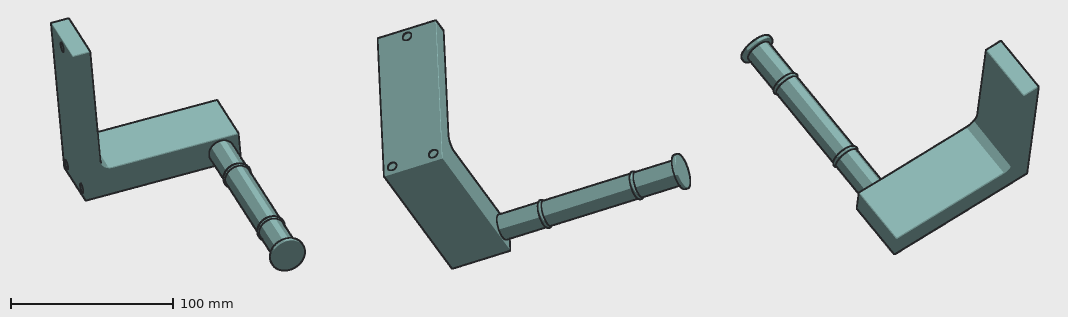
import cadquery as cq

WIDTH = 39.9
DEPTH = 102.3
HEIGHT = 109.9
FOOT_THICKNESS = 20.0
UPRIGHT_THICKNESS = 12.1
INNER_RADIUS = 7.5
EDGE_RADIUS = 0.9
FRONT_EDGE_RADIUS = 0.5

PLUG_DIAMETER = 6.0
PLUG_DEPTH = 6.0
PLUG_EDGE_RADIUS = 0.5
PLUG_INSET = 6.0

ROD_DIAMETER = 16.4
ROD_LENGTH = 119.7
ROD_END_RADIUS = 0.5
ROD_INSET = 12.5
RING_SECTION_RADIUS = 1.4
RING_HEIGHT = 0.9
RING_DISTANCES = (29.0, 91.2)
CAP_DIAMETER = 22.5
CAP_THICKNESS = 3.0
CAP_EDGE_RADIUS = 0.5

TILT_X = 4.5
TILT_Y = -0.2
TILT_Z = -5.68

ROD_RADIUS = ROD_DIAMETER / 2
RING_CENTER_RADIUS = ROD_RADIUS + RING_HEIGHT - RING_SECTION_RADIUS

PLUG_CENTERS = [
    (PLUG_INSET, PLUG_INSET),
    (WIDTH - PLUG_INSET, PLUG_INSET),
    (WIDTH / 2, HEIGHT - PLUG_INSET),
]


def rod_start():
    """Plane on the side of the foot, centered on the rod, facing along the rod."""
    origin = (WIDTH, DEPTH - ROD_INSET, FOOT_THICKNESS / 2)
    return cq.Plane(origin=origin, xDir=(0, 1, 0), normal=(1, 0, 0))


def rod_plane(distance):
    """Plane across the rod at a distance from the bracket."""
    return cq.Workplane(rod_start()).workplane(offset=distance)


def plug_blank(x, z):
    """Plain cylinder that fills a plug recess, flush with the front face."""
    plane = cq.Plane(origin=(x, 0, z), xDir=(1, 0, 0), normal=(0, 1, 0))
    return cq.Workplane(plane).circle(PLUG_DIAMETER / 2).extrude(PLUG_DEPTH)


def make_plug(blank):
    """Plug with a rounded rim at its visible end."""
    return blank.faces("<Y").edges().fillet(PLUG_EDGE_RADIUS)


def make_ring(distance):
    """O-ring that sits around the rod, partly sunk into it."""
    start = rod_start()
    center = start.toWorldCoords((0, 0, distance))
    ring = cq.Solid.makeTorus(RING_CENTER_RADIUS, RING_SECTION_RADIUS, center, start.zDir)
    return cq.Workplane(ring)


def make_bracket(blanks):
    """L-shaped bracket with rounded edges and a recess for each plug."""
    outline = [
        (0, 0),
        (DEPTH, 0),
        (DEPTH, FOOT_THICKNESS),
        (UPRIGHT_THICKNESS, FOOT_THICKNESS),
        (UPRIGHT_THICKNESS, HEIGHT),
        (0, HEIGHT),
    ]
    corner = cq.selectors.NearestToPointSelector((WIDTH / 2, UPRIGHT_THICKNESS, FOOT_THICKNESS))
    bracket = cq.Workplane("YZ").polyline(outline).close().extrude(WIDTH)
    bracket = bracket.edges(corner).fillet(INNER_RADIUS)
    bracket = bracket.faces("<X or >X or >Z or >Y").edges("not <Y").fillet(EDGE_RADIUS)
    bracket = bracket.faces("<Y").edges().fillet(FRONT_EDGE_RADIUS)
    for blank in blanks:
        bracket = bracket.cut(blank)
    return bracket


def make_rod(rings):
    """Straight round rod with rounded ends and a groove for each ring."""
    rod = rod_plane(0).circle(ROD_RADIUS).extrude(ROD_LENGTH)
    for ring in rings:
        rod = rod.cut(ring)
    rod = rod.faces("<X or >X").edges().fillet(ROD_END_RADIUS)
    return rod


def make_cap():
    """Disc with rounded rims that closes the free end of the rod."""
    cap = rod_plane(ROD_LENGTH).circle(CAP_DIAMETER / 2).extrude(CAP_THICKNESS)
    return cap.edges().fillet(CAP_EDGE_RADIUS)


def place(body):
    """Turn a body into the tilted position of the assembly."""
    origin = (0, 0, 0)
    tilted = body.val().rotate(origin, (1, 0, 0), TILT_X)
    tilted = tilted.rotate(origin, (0, 1, 0), TILT_Y)
    return tilted.rotate(origin, (0, 0, 1), TILT_Z)


blanks = [plug_blank(x, z) for x, z in PLUG_CENTERS]
plugs = [make_plug(blank) for blank in blanks]
rings = [make_ring(distance) for distance in RING_DISTANCES]
bracket = make_bracket(blanks)
rod = make_rod(rings)
cap = make_cap()

bodies = [bracket, *plugs, rod, *rings, cap]
result = cq.Compound.makeCompound([place(body) for body in bodies])